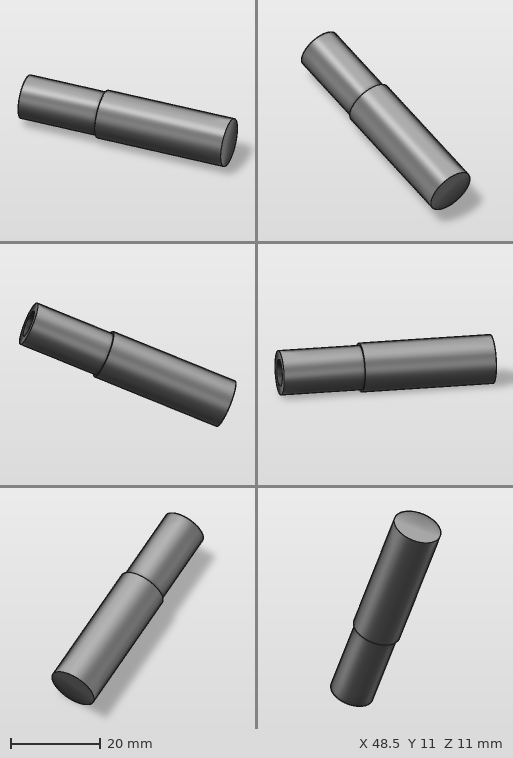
import cadquery as cq

total_length = 48.5
body_diameter = 11.0
neck_diameter = 10.0
neck_length = 18.5
bore_diameter = 6.0
bore_depth = neck_length


def cylinder_along_x(start, length, diameter):
    """Solid cylinder centred on the X axis, growing toward +X from start."""
    return cq.Workplane("YZ", origin=(start, 0, 0)).circle(diameter / 2).extrude(length)


body = cylinder_along_x(neck_length, total_length - neck_length, body_diameter)
neck = cylinder_along_x(0, neck_length, neck_diameter)

bore = cylinder_along_x(0, bore_depth, bore_diameter)

result = body.union(neck).cut(bore)